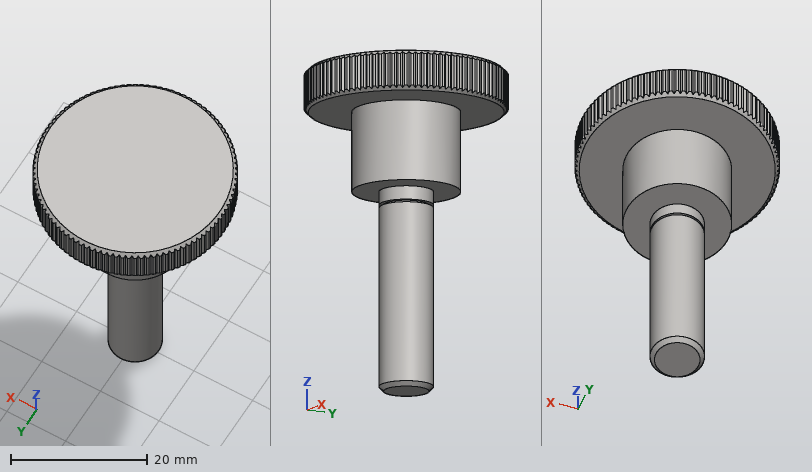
import cadquery as cq
import math


head_diameter = 30.0
head_radius = head_diameter / 2
head_height = 6.0
head_chamfer = 0.6

groove_count = 100
groove_depth = 0.3
groove_width = 0.6

boss_diameter = 16.0
boss_height = 12.0

shank_diameter = 8.0
shank_radius = shank_diameter / 2
shank_length = 30.0
collar_length = 2.0
stud_chamfer_depth = 0.65
stud_top_cone_angle = 30.0


def polar_point(radius, angle):
    return radius * math.cos(angle), radius * math.sin(angle)


def knurl_outline():
    """Head outline: V grooves separated by lands that lie on the head circle."""
    pitch = 2 * math.pi / groove_count
    half_groove = math.asin(groove_width / 2 / head_radius)
    root_radius = head_radius - groove_depth
    outline = cq.Workplane("XY", origin=(0, 0, boss_height)).moveTo(*polar_point(root_radius, 0))
    for i in range(groove_count):
        groove_angle = i * pitch
        next_groove_angle = groove_angle + pitch
        land_start = polar_point(head_radius, groove_angle + half_groove)
        land_middle = polar_point(head_radius, groove_angle + pitch / 2)
        land_end = polar_point(head_radius, next_groove_angle - half_groove)
        outline = outline.lineTo(*land_start).threePointArc(land_middle, land_end)
        if i < groove_count - 1:
            outline = outline.lineTo(*polar_point(root_radius, next_groove_angle))
    return outline.close()


def make_head():
    """Knurled disc with both rims chamfered across the knurl."""
    chamfered_disc = (
        cq.Workplane("XY", origin=(0, 0, boss_height))
        .circle(head_radius)
        .extrude(head_height)
        .faces("<Z or >Z")
        .chamfer(head_chamfer)
    )
    return knurl_outline().extrude(head_height).intersect(chamfered_disc)


def make_boss():
    return cq.Workplane("XY").circle(boss_diameter / 2).extrude(boss_height)


def make_collar():
    return cq.Workplane("XY").circle(shank_radius).extrude(-collar_length)


def make_stud():
    """Stud whose shallow upper cone leaves a narrow notch below the collar."""
    root_radius = shank_radius - stud_chamfer_depth
    top_cone_height = stud_chamfer_depth * math.tan(math.radians(stud_top_cone_angle))
    return (
        cq.Workplane("XZ")
        .moveTo(0, -collar_length)
        .lineTo(root_radius, -collar_length)
        .lineTo(shank_radius, -collar_length - top_cone_height)
        .lineTo(shank_radius, -shank_length + stud_chamfer_depth)
        .lineTo(root_radius, -shank_length)
        .lineTo(0, -shank_length)
        .close()
        .revolve(360, (0, 0, 0), (0, 1, 0))
    )


result = make_head().union(make_boss()).union(make_collar()).union(make_stud())